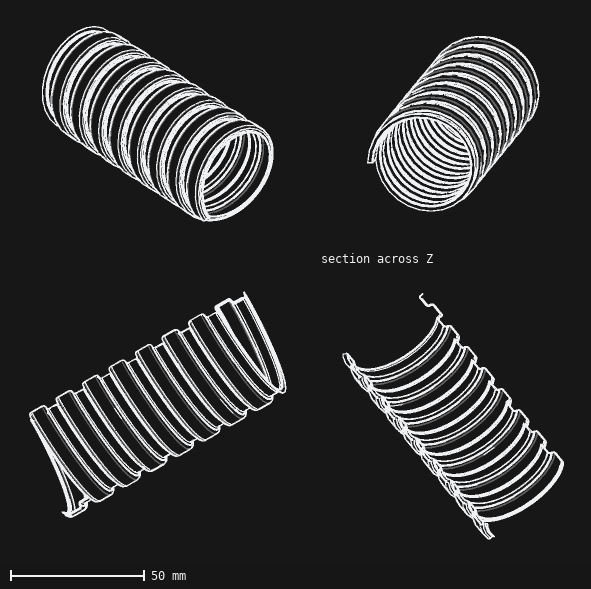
import cadquery as cq
import math


length = 100.8
strip_width = 13.2
full_turns = 7
last_turn_angle = 210.0
turns = full_turns + last_turn_angle / 360
pitch = (length - strip_width) / turns

sheet = 0.3
bore_radius = 36.4 / 2
outer_radius = 42.1 / 2
joint_radius = bore_radius + sheet
tail_foot_top = joint_radius + sheet
valley_edge = 37.7 / 2
valley_top = 37.8 / 2
crest_joint = outer_radius - sheet
crest_bottom = crest_joint - sheet
lip_tip = 40.2 / 2

tight_bend = sheet
middle_bend = 2 * sheet
wide_bend = 3 * sheet
widest_bend = 4 * sheet
tail_bend = 1.0

valley_start = 1.7
web = 5.6
tail_start = 11.7
crest_end = 11.3
lip_lean = 15.0

lean = math.radians(lip_lean)
lip_foot = bore_radius + middle_bend * (1 - math.sin(lean))
lip_run = (lip_tip - lip_foot) * math.tan(lean)
lip_center = (bore_radius + middle_bend, lip_run + middle_bend * math.cos(lean))
valley_center = (bore_radius + widest_bend, web + middle_bend - widest_bend)
valley_top_center = (valley_top + middle_bend, web - middle_bend)
crest_center = (outer_radius - widest_bend, web + widest_bend)
tail_center = (outer_radius - tail_bend, tail_start)
tail_foot_center = (tail_foot_top + tight_bend, tail_start + tail_bend + tight_bend)


def bend(outline, center, radius, start, end):
    """Draw a line to an arc and then the arc, between angles in degrees from radial to axial."""
    def at(degrees):
        angle = math.radians(degrees)
        return (center[0] + radius * math.cos(angle), center[1] + radius * math.sin(angle))

    return outline.lineTo(*at(start)).threePointArc(at((start + end) / 2), at(end))


def wind(outline):
    """Wind a closed (radius, axial) outline into a helix that starts at +Y and runs along X."""
    helix = cq.Wire.makeHelix(pitch, pitch * turns, bore_radius, center=(0, 0, strip_width / 2))
    strip = outline.close().sweep(cq.Workplane(obj=helix), isFrenet=True)
    return strip.rotate((0, 0, 0), (1, 1, 1), 120)


def make_inner_strip():
    """Leaning lip, sheet that lines the valley, web and sheet that lines the crest."""
    lip_end = (lip_tip + sheet * math.sin(lean), sheet * math.cos(lean))
    outline = cq.Workplane("XZ").moveTo(*lip_end).lineTo(lip_tip, 0)
    outline = bend(outline, lip_center, middle_bend, 270 - lip_lean, 180)
    outline = bend(outline, valley_center, widest_bend, 180, 90)
    outline = bend(outline, crest_center, middle_bend, 270, 360)
    outline = outline.lineTo(crest_bottom, crest_end).lineTo(crest_joint, crest_end)
    outline = bend(outline, crest_center, wide_bend, 360, 270)
    outline = bend(outline, valley_center, wide_bend, 90, 180)
    outline = bend(outline, lip_center, tight_bend, 180, 270 - lip_lean)
    return wind(outline)


def make_outer_strip():
    """Valley sheet, web, crest, and the tail that turns down and ends in a short foot."""
    outline = cq.Workplane("XZ").moveTo(valley_edge, valley_start).lineTo(joint_radius, valley_start)
    outline = bend(outline, valley_center, wide_bend, 180, 90)
    outline = bend(outline, crest_center, wide_bend, 270, 360)
    outline = bend(outline, tail_center, tail_bend - sheet, 0, 90)
    outline = bend(outline, tail_foot_center, tight_bend + sheet, 270, 180)
    outline = outline.lineTo(joint_radius, strip_width).lineTo(tail_foot_top, strip_width)
    outline = bend(outline, tail_foot_center, tight_bend, 180, 270)
    outline = bend(outline, tail_center, tail_bend, 90, 0)
    outline = bend(outline, crest_center, widest_bend, 360, 270)
    outline = bend(outline, valley_top_center, middle_bend, 90, 180)
    return wind(outline)


inner_strip = make_inner_strip()
outer_strip = make_outer_strip()
result = cq.Compound.makeCompound([inner_strip.val(), outer_strip.val()])